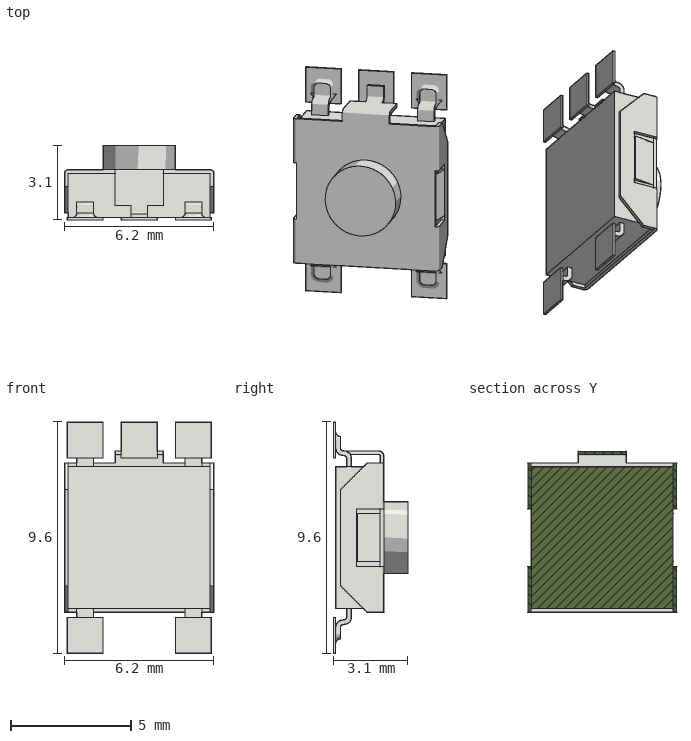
import cadquery as cq
import math


shell_size = 6.2
sheet = 0.15
shell_top = 2.0
flank_bottom = 0.2
flank_chamfer = 1.1
window_length = 2.4
window_bottom = 0.85

body_size = shell_size - 2 * sheet
body_top = shell_top - sheet
latch_length = 2.0
latch_bottom = 0.9
latch_depth = sheet

button_diameter = 3.0
button_top = 3.0

overall_length = 9.6
pad_size = 1.5
pad_thickness = 0.1
pad_inner_z = overall_length / 2 - pad_size
foot_tip_z = 4.2

lead_spacing = 4.49
lead_width = 0.7
lead_thickness = 0.2
lead_top = 0.65
lead_bend_radius = 0.1
lead_bend_angle = 80.0
foot_corner_radius = 0.2
flare_radius = lead_thickness

tab_width = 2.0
tab_outer_z = 3.6
tab_shoulder = 0.5
tab_bend_angle = 90.0
tab_bend_radius = 0.05
tab_foot_bend_radius = 0.2

select_margin = 0.01


def box(x_range, y_range, z_range):
    """Box given by its limits along the three axes."""
    limits = (x_range, y_range, z_range)
    sizes = [high - low for low, high in limits]
    corner = tuple(low for low, high in limits)
    return cq.Workplane("XY").box(*sizes, centered=False).translate(corner)


def bent_strip(width, thickness, top, start_z, bend_z, tip_z, angle, radius, foot_radius):
    """Strip that runs along +Z, bends down by `angle`, then bends back into a foot on Y = 0.

    `radius` and `foot_radius` are the inner radii of the two bends.
    """
    turn = math.radians(angle)
    outer = radius + thickness
    foot_outer = foot_radius + thickness
    bend_y = top - outer
    foot_bend_y = foot_outer
    rise = foot_bend_y - bend_y
    foot_bend_z = bend_z + (outer + foot_radius - rise * math.cos(turn)) / math.sin(turn)

    def on_bend(r, a):
        return (bend_y + r * math.cos(a), bend_z + r * math.sin(a))

    def on_foot_bend(r, a):
        return (foot_bend_y - r * math.cos(a), foot_bend_z - r * math.sin(a))

    profile = (
        cq.Workplane("YZ")
        .moveTo(top, start_z)
        .lineTo(top, bend_z)
        .threePointArc(on_bend(outer, turn / 2), on_bend(outer, turn))
        .lineTo(*on_foot_bend(foot_radius, turn))
        .threePointArc(on_foot_bend(foot_radius, turn / 2), on_foot_bend(foot_radius, 0))
        .lineTo(thickness, tip_z)
        .lineTo(0, tip_z)
        .lineTo(0, foot_bend_z)
        .threePointArc(on_foot_bend(foot_outer, turn / 2), on_foot_bend(foot_outer, turn))
        .lineTo(*on_bend(radius, turn))
        .threePointArc(on_bend(radius, turn / 2), on_bend(radius, 0))
        .lineTo(top - thickness, start_z)
        .close()
    )
    return profile.extrude(width / 2, both=True)


def make_pad():
    """Square solder pad centred on X = 0 at the +Z end."""
    half = pad_size / 2
    return box((-half, half), (-pad_thickness, 0), (pad_inner_z, overall_length / 2))


def make_lead():
    """Lead with its pad, centred on X = 0 at the +Z end."""
    body_face = body_size / 2
    half = lead_width / 2
    post = box((-half, half), (0, lead_top), (body_face, foot_tip_z))
    post = post.edges("|Y and >Z").fillet(foot_corner_radius)
    base = box((-pad_size / 2, pad_size / 2), (-pad_thickness, 0), (body_face, overall_length / 2))
    foot_outline = cq.selectors.BoxSelector(
        (-half - select_margin, -select_margin, body_face + select_margin),
        (half + select_margin, select_margin, foot_tip_z + select_margin),
    )
    flared_post = base.union(post).edges(foot_outline).fillet(flare_radius)
    strip = bent_strip(
        pad_size, lead_thickness, lead_top, body_face, pad_inner_z, foot_tip_z + flare_radius,
        lead_bend_angle, lead_bend_radius, lead_bend_radius,
    )
    return strip.intersect(flared_post).union(make_pad())


def make_latch():
    """Wedge on the -X face of the body that sits inside the shell window."""
    face = -body_size / 2
    return (
        cq.Workplane("XY")
        .polyline([(face, body_top), (face - latch_depth, latch_bottom), (face, latch_bottom)])
        .close()
        .extrude(latch_length / 2, both=True)
    )


def make_body():
    """Body block with its two latches and four leads."""
    half = body_size / 2
    body = box((-half, half), (0, body_top), (-half, half))
    latch = make_latch()
    body = body.union(latch).union(latch.mirror("YZ"))
    lead = make_lead()
    for x in (-lead_spacing / 2, lead_spacing / 2):
        placed = lead.translate((x, 0, 0))
        body = body.union(placed).union(placed.mirror("XY"))
    return body


def make_ground_tab():
    """Tab that runs from the shell top down to the middle pad."""
    bend_z = tab_outer_z - tab_bend_radius - sheet
    tab = bent_strip(
        tab_width, sheet, shell_top, shell_size / 2, bend_z, foot_tip_z,
        tab_bend_angle, tab_bend_radius, tab_foot_bend_radius,
    )
    wide = box((-tab_width / 2, tab_width / 2), (tab_shoulder, shell_top), (0, foot_tip_z))
    narrow = box((-lead_width / 2, lead_width / 2), (0, tab_shoulder), (0, foot_tip_z))
    return tab.intersect(wide.union(narrow)).union(make_pad())


def make_shell():
    """Sheet cover over the top and two sides of the body, with windows and the ground tab."""
    half = shell_size / 2
    inner = body_size / 2
    shell = box((-half, half), (flank_bottom, shell_top), (-half, half))
    shell = shell.edges("<Y and |X").chamfer(flank_chamfer)
    shell = shell.edges(">Y and |Z").fillet(sheet)
    shell = shell.cut(box((-inner, inner), (0, body_top), (-half, half)))
    for x_range in ((-half, -inner), (inner, half)):
        window_z = (-window_length / 2, window_length / 2)
        shell = shell.cut(box(x_range, (window_bottom, shell_top), window_z))
    button_hole = cq.Workplane("ZX").circle(button_diameter / 2).extrude(shell_top)
    return shell.cut(button_hole).union(make_ground_tab())


def make_button():
    """Round button that stands on the body and passes through the shell."""
    button = cq.Workplane("ZX").circle(button_diameter / 2).extrude(button_top - body_top)
    return button.translate((0, body_top, 0))


body = make_body()
shell = make_shell()
button = make_button()

result = cq.Compound.makeCompound([body.val(), shell.val(), button.val()])